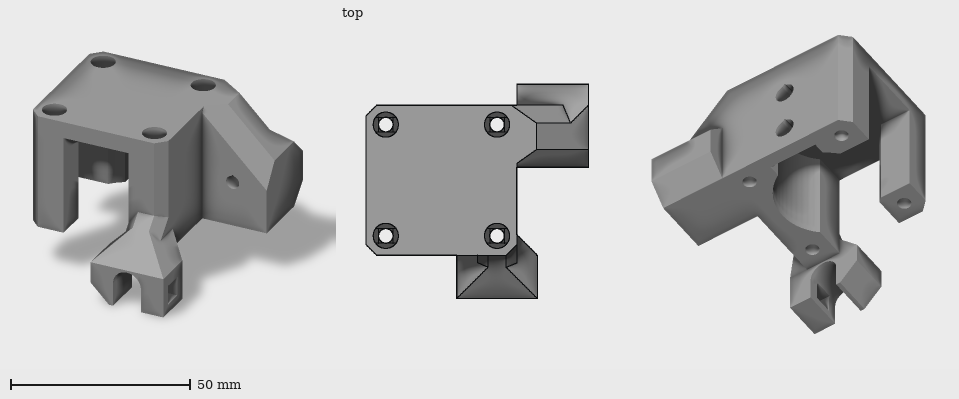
import cadquery as cq
import math

body_width = 42.05
body_depth = 41.85
body_height = 35.1
corner_chamfer = 3.0
plate_thickness = 5.0

cavity_radius = 15.1
window_width = 20.1
recess_width = 15.05
back_wall = 4.1

bolt_spacing = 31.0
bolt_hole_diameter = 4.0
counterbore_diameter = 7.0
counterbore_floor = 5.0
relief_step = 0.3

back_hole_diameter = 6.0
back_hole_heights = (7.8, 22.25)
teardrop_ratio = 1.21

overall_length = 62.0
arm_width = 17.35
arm_tip_height = 20.65
arm_chamfer = 5.0
arm_hole_diameter = 4.0
arm_hole_x = 51.45
arm_hole_height = 13.65
arm_hole_depth = 19.85

bulge_reach = 5.8
bulge_top = 14.8

hook_width = 22.55
hook_depth = 12.1
hook_drop = 12.15
hook_corner_cut = 5.7
notch_width = 8.6
notch_center_drop = 4.95
pocket_size = 5.95
pocket_floor = 2.6

center_x = body_width / 2
center_y = body_depth / 2
cavity_height = body_height - plate_thickness
leg_width = (body_width - window_width) / 2
hook_center = center_x + bolt_spacing / 2
arm_front = body_depth - arm_width
arm_middle = body_depth - arm_width / 2
arm_rise = body_height - arm_tip_height


def block(x_range, y_range, z_range):
    """Axis-aligned box between the given limits."""
    size = [high - low for low, high in (x_range, y_range, z_range)]
    corner = (x_range[0], y_range[0], z_range[0])
    return cq.Workplane("XY").box(*size, centered=False).translate(corner)


def prism_along_x(points, x_start, x_end):
    """Extrude a (y, z) outline along X."""
    return cq.Workplane("YZ", origin=(x_start, 0, 0)).polyline(points).close().extrude(x_end - x_start)


def prism_along_y(points, y_start, y_end):
    """Extrude an (x, z) outline along Y."""
    return cq.Workplane("XZ", origin=(0, y_start, 0)).polyline(points).close().extrude(y_start - y_end)


def teardrop_cutter(x, z, diameter, y_start, y_end):
    """Cutter along Y: a round hole with a small 45 degree peak at its top."""
    radius = diameter / 2
    tip = teardrop_ratio * radius
    hole = cq.Workplane("XZ", origin=(x, y_start, z)).circle(radius).extrude(y_start - y_end)
    peak = prism_along_y([(x - tip, z), (x + tip, z), (x, z + tip)], y_start, y_end)
    shoulder = radius * math.sqrt(0.5)
    cap = block((x - shoulder, x + shoulder), (y_start, y_end), (z + shoulder, z + tip))
    return hole.union(peak.intersect(cap))


def make_body():
    body = block((0, body_width), (0, body_depth), (0, body_height))
    return body.edges("|Z").chamfer(corner_chamfer)


def make_cavity():
    """Round cavity with a back recess, opening through the left and front walls."""
    cavity = cq.Workplane("XY", origin=(center_x, center_y, 0)).circle(cavity_radius).extrude(cavity_height)
    half = window_width / 2
    half_recess = recess_width / 2
    left_window = block((0, center_x), (center_y - half, center_y + half), (0, cavity_height))
    front_window = block((center_x - half, center_x + half), (0, center_y), (0, cavity_height))
    recess = block(
        (center_x - half_recess, center_x + half_recess),
        (center_y, body_depth - back_wall),
        (0, cavity_height),
    )
    return cavity.union(left_window).union(front_window).union(recess)


def make_arm():
    """Arm on the right side, sloping at 45 degrees, with a bevelled pad behind it."""
    slope_start = overall_length - arm_rise
    root = body_width - corner_chamfer
    side = [
        (root, 0),
        (overall_length, 0),
        (overall_length, arm_tip_height),
        (slope_start, body_height),
        (root, body_height),
    ]
    outline = prism_along_y(side, arm_front, body_depth + bulge_reach)
    beam = prism_along_y(side, arm_front, body_depth)
    wedge_tip = overall_length + arm_tip_height
    wedge_root = wedge_tip - 2 * body_height
    wedge = prism_along_y(
        [(wedge_root, 0), (wedge_tip, 0), (wedge_root, 2 * body_height)], arm_front, body_depth
    )
    wedge = wedge.faces(">(1, 0, 1)").edges("not |Y").chamfer(arm_chamfer)
    beam = beam.intersect(wedge)

    back = body_depth + bulge_reach
    pad_profile = [
        (arm_middle, 0),
        (body_depth, 0),
        (back, bulge_reach),
        (back, bulge_top),
        (arm_middle, bulge_top + back - arm_middle),
    ]
    pad = prism_along_x(pad_profile, body_width, overall_length).intersect(outline)
    return beam.union(pad)


def make_hook():
    """Notched hook block below the body, joined to it by sloping gussets."""
    left = hook_center - hook_width / 2
    right = hook_center + hook_width / 2
    profile = [
        (left, 0),
        (right, 0),
        (right, -hook_drop),
        (left + hook_corner_cut, -hook_drop),
        (left, hook_corner_cut - hook_drop),
    ]
    hook = prism_along_y(profile, -hook_depth, 0)

    notch_radius = notch_width / 2
    notch = block(
        (hook_center - notch_radius, hook_center + notch_radius),
        (-hook_depth, 0),
        (-hook_drop, -notch_center_drop),
    )
    notch_top = (
        cq.Workplane("XZ", origin=(hook_center, 0, -notch_center_drop))
        .circle(notch_radius)
        .extrude(hook_depth)
    )
    pocket_bottom = pocket_floor - hook_drop
    pocket = block(
        (hook_center, right),
        (-(hook_depth + pocket_size) / 2, -(hook_depth - pocket_size) / 2),
        (pocket_bottom, pocket_bottom + pocket_size),
    )
    hook = hook.cut(notch).cut(notch_top).cut(pocket)

    ridge = hook_width / 2
    leaning = prism_along_x(
        [(-hook_depth, 0), (0, 0), (ridge, ridge), (ridge - hook_depth, ridge)], left, right
    )
    roof = prism_along_y([(left, 0), (right, 0), (hook_center, ridge)], -hook_depth, ridge)
    return hook.union(leaning.intersect(roof))


def make_fin():
    """Gusset as wide as the leg, with its sloping edges chamfered."""
    fin_back = corner_chamfer
    fin = prism_along_x(
        [(-hook_depth, 0), (fin_back, 0), (fin_back, hook_depth + fin_back)],
        body_width - leg_width,
        body_width,
    )
    return fin.faces(">(0, -1, 1)").edges("not |X").chamfer(corner_chamfer)


def make_bolt_cutter():
    """Counterbored bolt hole with two crossed shallow slots under the counterbore."""
    depth = body_height - counterbore_floor
    reach = counterbore_diameter / 2
    half = bolt_hole_diameter / 2
    bore = cq.Workplane("XY", origin=(0, 0, counterbore_floor)).circle(reach).extrude(depth)
    through = cq.Workplane("XY").circle(half).extrude(body_height)
    upper = (counterbore_floor - relief_step, counterbore_floor)
    lower = (counterbore_floor - 2 * relief_step, counterbore_floor - relief_step)
    slots = block((-reach, reach), (-half, half), upper).union(
        block((-half, half), (-reach, reach), lower)
    )
    rim = cq.Workplane("XY").circle(reach).extrude(body_height)
    return bore.union(through).union(slots.intersect(rim))


result = make_body().union(make_arm()).union(make_hook()).union(make_fin())

result = result.cut(make_cavity())

for side_x in (-1, 1):
    for side_y in (-1, 1):
        place = (center_x + side_x * bolt_spacing / 2, center_y + side_y * bolt_spacing / 2, 0)
        result = result.cut(make_bolt_cutter().translate(place))

for height in back_hole_heights:
    result = result.cut(
        teardrop_cutter(center_x, height, back_hole_diameter, center_y, body_depth)
    )

result = result.cut(
    teardrop_cutter(arm_hole_x, arm_hole_height, arm_hole_diameter, arm_front, arm_front + arm_hole_depth)
)